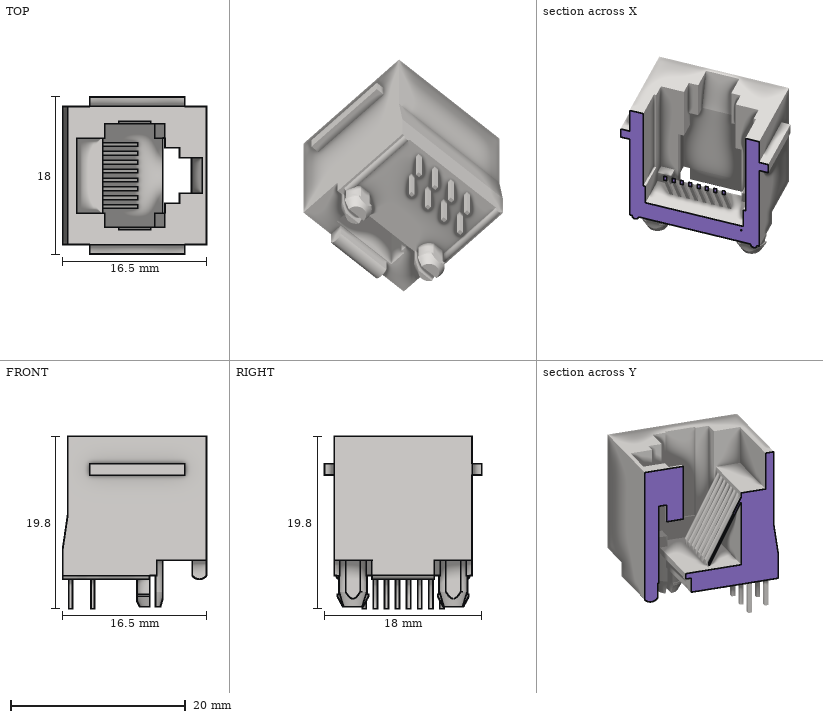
import cadquery as cq
import math


length = 16.51
width = 15.83
height = 16.0
back_recess = 0.57
taper_low_z = 3.03
taper_high_z = 6.9
step_x = 10.8
step_z = 1.77

overall_width = 18.03
ear_x = 3.11
ear_length = 10.9
ear_low_z = 11.53
ear_high_z = 12.84

leg_thickness = 1.67
leg_width = 7.15
leg_drop = 0.41
leg_round_height = 0.45

floor_z = 2.5
inner_half = 4.3
plug_half = 5.95
recess_back_x = 1.63
plug_back_x = 4.83
floor_front_x = 11.5
plug_front_x = 11.73
corner_ledge_x = 10.58
corner_ledge_z = 3.8
groove_start_x = 6.46
groove_end_x = 10.13
groove_half = 6.23
groove_floor_z = 5.0

key_wide_half = 3.16
key_wide_x = 13.38
key_narrow_half = 2.02
key_top_x = 16.03
key_bottom_x = 14.75
key_ramp_z = 11.43
key_wall_x = 13.79
chamber_top_z = 9.33
chamber_neck_half = 3.87
chamber_neck_x = 12.6

insert_front_x = 4.6
insert_top_z = 11.5
contact_count = 8
contact_pitch = 1.016
contact_width = 0.43
contact_thickness = 0.3
contact_tip_x = 8.64
contact_root_z = 11.0
contact_slope = 62.0

pin_pitch = 1.27
pin_length = 3.81
pin_x_size = 0.45
pin_y_size = 0.5
pin_rows_x = (3.46, 0.93)

peg_x = 10.0
peg_y = 5.75
peg_radius = 1.64
barb_radius = 1.79
peg_tip_radius = 1.155
front_peg_radius = 1.71
front_tip_radius = 1.23
peg_flat = 1.49
peg_tip_z = -3.56
barb_top_z = -2.1
barb_low_z = -2.37
front_taper_z = -1.84
slot_width = 0.64

rail_y = 7.24
rail_radius = 0.41
rail_end_x = 9.95


def block(x0, x1, y0, y1, z0, z1):
    return cq.Workplane("XY").box(x1 - x0, y1 - y0, z1 - z0, centered=False).translate((x0, y0, z0))


def centred_block(x0, x1, half, z0, z1):
    return block(x0, x1, -half, half, z0, z1)


def extrude_across(profile, full_width):
    """Extrude an XZ profile symmetrically about Y = 0."""
    return profile.extrude(full_width / 2, both=True)


def make_housing():
    outline = (
        cq.Workplane("XZ")
        .moveTo(0, 0)
        .lineTo(step_x, 0)
        .lineTo(step_x, step_z)
        .lineTo(length, step_z)
        .lineTo(length, height)
        .lineTo(back_recess, height)
        .lineTo(back_recess, taper_high_z)
        .lineTo(0, taper_low_z)
        .close()
    )
    ears = centred_block(ear_x, ear_x + ear_length, overall_width / 2, ear_low_z, ear_high_z)
    return extrude_across(outline, width).union(ears)


def make_leg():
    back_x = length - leg_thickness
    shoulder_z = leg_round_height - leg_drop
    outline = (
        cq.Workplane("XZ")
        .moveTo(back_x, step_z)
        .lineTo(back_x, shoulder_z)
        .threePointArc((back_x + leg_thickness / 2, -leg_drop), (length, shoulder_z))
        .lineTo(length, step_z)
        .close()
    )
    return extrude_across(outline, leg_width)


def make_keyway():
    wide = centred_block(plug_front_x, key_wide_x, key_wide_half, 0, height)
    ramp = (
        cq.Workplane("XZ")
        .moveTo(plug_front_x, 0)
        .lineTo(key_bottom_x, 0)
        .lineTo(key_bottom_x, key_ramp_z)
        .lineTo(key_top_x, height)
        .lineTo(plug_front_x, height)
        .close()
    )
    under_wide = centred_block(plug_front_x, key_wall_x, key_wide_half, 0, key_ramp_z)
    front_space = centred_block(key_wall_x, key_bottom_x, inner_half, 0, key_ramp_z)
    back_gap = centred_block(floor_front_x, plug_front_x, inner_half, 0, chamber_top_z)
    chamber_neck = centred_block(plug_front_x, chamber_neck_x, chamber_neck_half, 0, chamber_top_z)
    chamber = centred_block(chamber_neck_x, key_bottom_x, inner_half, 0, chamber_top_z)
    narrow = extrude_across(ramp, 2 * key_narrow_half)
    keyway = wide.union(narrow).union(under_wide).union(front_space)
    return keyway.union(back_gap).union(chamber_neck).union(chamber)


def make_cavity():
    back = centred_block(insert_front_x, plug_front_x, inner_half, floor_z, height)
    above_insert = centred_block(recess_back_x, insert_front_x, inner_half, insert_top_z, height)
    plug = centred_block(plug_back_x, corner_ledge_x, plug_half, floor_z, height)
    front = centred_block(corner_ledge_x, plug_front_x, plug_half, corner_ledge_z, height)
    grooves = centred_block(groove_start_x, groove_end_x, groove_half, groove_floor_z, height)
    return back.union(above_insert).union(plug).union(front).union(grooves).union(make_keyway())


def row_positions(count, pitch):
    return [(i - (count - 1) / 2) * pitch for i in range(count)]


def make_contact(y):
    slope = math.radians(contact_slope)
    tip_z = contact_root_z - (contact_tip_x - insert_front_x) * math.tan(slope)
    vertical_thickness = contact_thickness / math.cos(slope)
    outline = (
        cq.Workplane("XZ")
        .moveTo(insert_front_x, contact_root_z)
        .lineTo(contact_tip_x, tip_z)
        .lineTo(contact_tip_x, tip_z - vertical_thickness)
        .lineTo(insert_front_x, contact_root_z - vertical_thickness)
        .close()
    )
    return extrude_across(outline, contact_width).translate((0, y, 0))


def make_pin(x, y):
    return block(
        x - pin_x_size / 2, x + pin_x_size / 2,
        y - pin_y_size / 2, y + pin_y_size / 2,
        -pin_length, 0,
    )


def revolve_profile(points):
    """Revolve (radius, z) points about the Z axis."""
    return cq.Workplane("XZ").polyline(points).close().revolve(360, (0, 0, 0), (0, 1, 0))


def make_peg(y):
    back = revolve_profile([
        (0, 0),
        (peg_radius, 0),
        (peg_radius, barb_top_z),
        (barb_radius, barb_top_z),
        (barb_radius, barb_low_z),
        (peg_tip_radius, peg_tip_z),
        (0, peg_tip_z),
    ]).intersect(centred_block(-peg_flat, 0, barb_radius, peg_tip_z, 0))
    front = revolve_profile([
        (0, step_z),
        (front_peg_radius, step_z),
        (front_peg_radius, front_taper_z),
        (front_tip_radius, peg_tip_z),
        (0, peg_tip_z),
    ]).intersect(centred_block(slot_width, peg_flat, barb_radius, peg_tip_z, step_z))
    return back.union(front).translate((peg_x, y, 0))


def make_rail(y):
    return (
        cq.Workplane("YZ")
        .moveTo(y - rail_radius, 0)
        .threePointArc((y, -rail_radius), (y + rail_radius, 0))
        .close()
        .extrude(rail_end_x)
    )


result = make_housing().union(make_leg()).cut(make_cavity())
for contact_y in row_positions(contact_count, contact_pitch):
    result = result.union(make_contact(contact_y))
for index, pin_y in enumerate(row_positions(contact_count, pin_pitch)):
    result = result.union(make_pin(pin_rows_x[index % 2], pin_y))
for side in (-1, 1):
    result = result.union(make_peg(side * peg_y)).union(make_rail(side * rail_y))